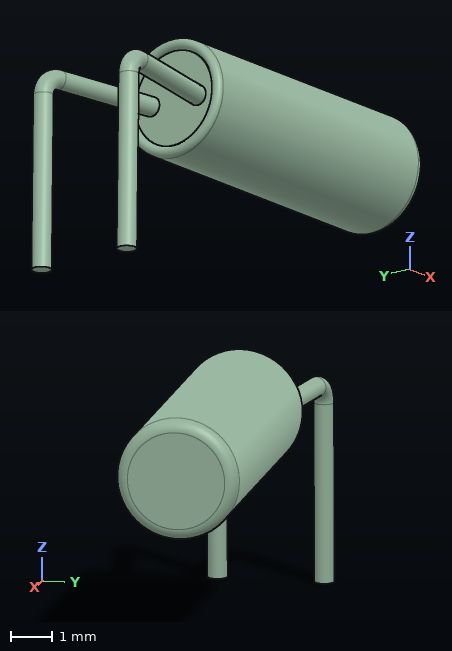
import cadquery as cq
import math

can_length = 8.0
can_diameter = 3.0
bore_diameter = 2.4
wall = (can_diameter - bore_diameter) / 2
rim_radius = wall / 2
end_fillet = wall
plug_face_x = rim_radius

lead_diameter = 0.5
bend_radius = 0.5
splay_angle = 10.0
tilt_angle = 0.9
root_y = 0.74
root_z = -0.07
arm_length = 2.82
leg_length = 4.47
root_overlap = 0.46


def make_can():
    """Cup with a rounded closed end and a half-round rim."""
    outer_radius = can_diameter / 2
    bore_radius = bore_diameter / 2
    profile = (
        cq.Workplane("XY")
        .moveTo(rim_radius, bore_radius)
        .threePointArc((0, bore_radius + rim_radius), (rim_radius, outer_radius))
        .lineTo(can_length - end_fillet, outer_radius)
        .radiusArc((can_length, outer_radius - end_fillet), end_fillet)
        .lineTo(can_length, 0)
        .lineTo(can_length - wall, 0)
        .lineTo(can_length - wall, bore_radius)
        .close()
    )
    return profile.revolve(360, (0, 0, 0), (1, 0, 0))


def make_plug():
    """Cylinder that fills the bore of the can."""
    plug_length = can_length - wall - plug_face_x
    return cq.Workplane("YZ", origin=(plug_face_x, 0, 0)).circle(bore_diameter / 2).extrude(plug_length)


def make_lead(side, plug):
    """Wire with one right-angle bend; side is +1 or -1 along Y."""
    bend_middle = bend_radius * math.sin(math.radians(45))
    leg_x = -arm_length - bend_radius
    path = (
        cq.Workplane("XZ")
        .moveTo(root_overlap, 0)
        .lineTo(-arm_length, 0)
        .threePointArc(
            (-arm_length - bend_middle, bend_middle - bend_radius),
            (leg_x, -bend_radius),
        )
        .lineTo(leg_x, -bend_radius - leg_length)
    )
    wire = cq.Workplane("YZ", origin=(root_overlap, 0, 0)).circle(lead_diameter / 2).sweep(path)
    placed = (
        wire.rotate((0, 0, 0), (0, 0, 1), -side * splay_angle)
        .rotate((0, 0, 0), (0, 1, 0), tilt_angle)
        .translate((0, side * root_y, root_z))
    )
    return placed.cut(plug)


can = make_can()
plug = make_plug()
leads = [make_lead(side, plug) for side in (-1, 1)]

result = cq.Compound.makeCompound([can.val(), plug.val(), *[lead.val() for lead in leads]])